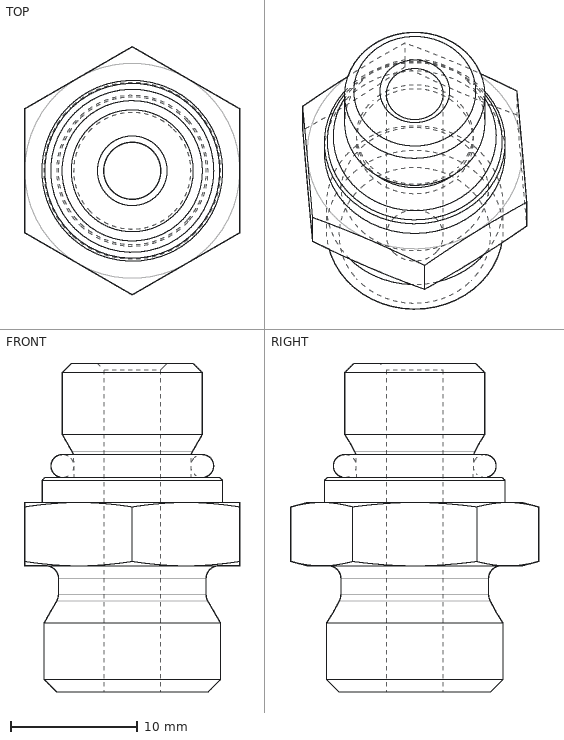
import cadquery as cq
import math

total_height = 26.0

lower_thread_radius = 14.0 / 2
lower_chamfer = 1.01
lower_thread_top = 5.45

runout_fillet = 1.0

neck_radius = 11.7 / 2

hex_across_flats = 17.0
hex_bottom = 9.98
hex_height = 5.02
hex_chamfer_angle = 15.0

collar_radius = 14.3 / 2
collar_height = 1.98
collar_chamfer = 0.23

upper_thread_radius = 11.1 / 2
upper_thread_bottom = 20.38
upper_chamfer = 0.73
groove_radius = 9.25 / 2
runout_angle = 30.0

bore_radius = 4.5 / 2
countersink_radius = 5.5 / 2

ring_section_radius = 0.9

hex_top = hex_bottom + hex_height
collar_top = hex_top + collar_height
runout_slope = math.tan(math.radians(runout_angle))
neck_bottom = lower_thread_top + (lower_thread_radius - neck_radius) / runout_slope
groove_top = upper_thread_bottom - (upper_thread_radius - groove_radius) / runout_slope


def revolve_profile(points):
    """Solid of revolution about Z from a closed (radius, height) outline."""
    return cq.Workplane("XZ").polyline(points).close().revolve(360, (0, 0, 0), (0, 1, 0))


def make_lower_end():
    """Lower thread with its run-out cone, and the neck running up to the hexagon."""
    return revolve_profile([
        (0, 0),
        (lower_thread_radius - lower_chamfer, 0),
        (lower_thread_radius, lower_chamfer),
        (lower_thread_radius, lower_thread_top),
        (neck_radius, neck_bottom),
        (neck_radius, hex_bottom),
        (0, hex_bottom),
    ])


def make_hexagon():
    """Hexagon with corners on the Y axis, its corners turned down at both ends."""
    corner_radius = hex_across_flats / math.sqrt(3)
    flat_radius = hex_across_flats / 2
    corner_drop = (corner_radius - flat_radius) * math.tan(math.radians(hex_chamfer_angle))
    prism = (
        cq.Workplane("XY")
        .workplane(offset=hex_bottom)
        .polygon(6, 2 * corner_radius)
        .extrude(hex_height)
        .rotate((0, 0, 0), (0, 0, 1), 30)
    )
    turned_envelope = revolve_profile([
        (0, hex_bottom),
        (flat_radius, hex_bottom),
        (corner_radius, hex_bottom + corner_drop),
        (corner_radius, hex_top - corner_drop),
        (flat_radius, hex_top),
        (0, hex_top),
    ])
    return prism.intersect(turned_envelope)


def make_upper_end():
    """Sealing collar, seal groove and upper thread."""
    return revolve_profile([
        (0, hex_top),
        (collar_radius, hex_top),
        (collar_radius, collar_top - collar_chamfer),
        (collar_radius - collar_chamfer, collar_top),
        (groove_radius, collar_top),
        (groove_radius, groove_top),
        (upper_thread_radius, upper_thread_bottom),
        (upper_thread_radius, total_height - upper_chamfer),
        (upper_thread_radius - upper_chamfer, total_height),
        (0, total_height),
    ])


def make_bore():
    """Through bore with a 45 degree countersink at the upper end."""
    countersink_depth = countersink_radius - bore_radius
    return revolve_profile([
        (0, 0),
        (bore_radius, 0),
        (bore_radius, total_height - countersink_depth),
        (countersink_radius, total_height),
        (0, total_height),
    ])


def circle_at(radius, height):
    """Selector for the circular edge of a given radius and height about the Z axis."""
    margin = 0.03
    reach = radius + margin
    return cq.selectors.BoxSelector(
        (-reach, -reach, height - margin),
        (reach, reach, height + margin),
        boundingbox=True,
    )


def make_fitting():
    """Body of the fitting: both threaded ends, hexagon, collar and through bore."""
    body = make_lower_end().union(make_hexagon()).union(make_upper_end())
    inside_corners = [
        (neck_radius, neck_bottom),
        (neck_radius, hex_bottom),
        (groove_radius, groove_top),
    ]
    for radius, height in inside_corners:
        body = body.edges(circle_at(radius, height)).fillet(runout_fillet)
    return body.cut(make_bore())


def make_o_ring():
    """O-ring seated on the groove floor and on the collar face."""
    ring_radius = groove_radius + ring_section_radius
    ring_height = collar_top + ring_section_radius
    return (
        cq.Workplane("XZ")
        .moveTo(ring_radius, ring_height)
        .circle(ring_section_radius)
        .revolve(360, (0, 0, 0), (0, 1, 0))
    )


fitting = make_fitting()
o_ring = make_o_ring()
result = cq.Compound.makeCompound([fitting.val(), o_ring.val()])